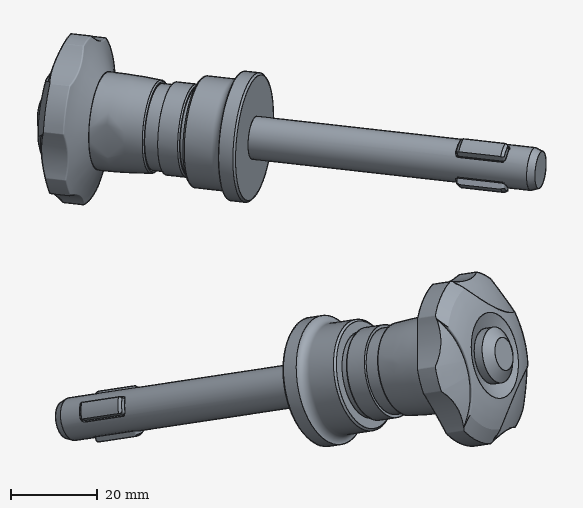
import cadquery as cq
import math


sector_angle = 120
total_length = 120.2
knob_radius = 40.0 / 2

button_radius = 6.5
button_tip_radius = 3.8
button_chamfer_length = 1.8

dome_start = 2.5
dish_radius = 10.0
dish_depth = 1.5
dome_mid_x, dome_mid_radius = 3.2, 13.5
dome_end_x, dome_end_radius = 4.5, 17.1
rim_start = 6.5
rim_end = 11.4

flare_mid_x, flare_mid_radius = 13.0, 15.4
flare_end_radius = 11.3
neck_start = 14.8
neck_start_radius = 11.4
neck_mid_x, neck_mid_radius = 21.0, 11.3
neck_end = 27.9
neck_end_radius = 10.8
sleeve_edge_chamfer = 0.4

groove_radius = 10.1
ring_start = 31.3
ring_end = 36.4
ring_radius = 10.8
collar_start = 37.9
collar_radius = 13.0
collar_edge_chamfer = 0.5
collar_end = 45.0
flange_start = 47.2
flange_radius = 15.0
flange_end = 51.2
flange_edge_chamfer = 0.5

shaft_radius = 10.0 / 2
shaft_tip_radius = 4.3
shaft_chamfer_length = 1.8

narrow_lobe_angles = [86 + sector * sector_angle for sector in range(3)]
scallop_offset_angle = 26
scallop_half_angle = 17.5
scallop_floor_radius = 18.2
knob_edge_fillet = 0.4

sunken_depth = 0.6
sunken_edge_fillet = 0.2
sunken_arc_radius = 28.8
sunken_inner_radius = 11.5

key_middle = 107.0
key_length = 11.5
key_width = 4.0
key_outer_radius = 6.1
key_chamfer_length = 0.7
key_chamfer_height = 0.5
key_corner_radius = 0.6
pocket_gap = 0.4
pocket_depth = 0.8
key_angles = [60 + sector * sector_angle for sector in range(3)]

AXIS_START = (0, 0, 0)
AXIS_END = (1, 0, 0)


def turned(outline):
    """Revolve a closed outline about the X axis."""
    return outline.close().revolve(360, AXIS_START, AXIS_END)


def around_axis(shape, angle):
    """Turn a shape made along -Y about X; positive angles go from -Y towards +Z."""
    return shape.rotate(AXIS_START, AXIS_END, -angle)


def make_knob():
    outline = (
        cq.Workplane("XY")
        .moveTo(dome_start + dish_depth, 0)
        .lineTo(dome_start + dish_depth, button_radius)
        .lineTo(dome_start, dish_radius)
        .threePointArc((dome_mid_x, dome_mid_radius), (dome_end_x, dome_end_radius))
        .lineTo(rim_start, knob_radius)
        .lineTo(rim_end, knob_radius)
        .threePointArc((flare_mid_x, flare_mid_radius), (neck_start, flare_end_radius))
        .lineTo(neck_start, 0)
    )
    knob = turned(outline).intersect(make_lobed_prism())
    back_zone = cq.selectors.BoxSelector(
        (rim_end - knob_edge_fillet, -knob_radius, -knob_radius),
        (flare_mid_x, knob_radius, knob_radius),
    )
    knob = knob.edges(back_zone).fillet(knob_edge_fillet)
    sunken_face = make_sunken_face_cutter()
    for lobe_angle in narrow_lobe_angles:
        knob = knob.cut(around_axis(sunken_face, lobe_angle))
    dome_zone = cq.selectors.BoxSelector(
        (dome_start, -dome_end_radius, -dome_end_radius),
        (dome_mid_x + sunken_depth, dome_end_radius, dome_end_radius),
    )
    step_edges = knob.edges(dome_zone).edges("%BSPLINE")
    return step_edges.fillet(sunken_edge_fillet)


def make_lobed_prism():
    """Star-like bar along X that gives the knob its lobes, with rounded corners."""
    prism = cq.Workplane("YZ").circle(knob_radius).extrude(neck_start)
    scallop = make_scallop_cutter()
    for lobe_angle in narrow_lobe_angles:
        for side in (-1, 1):
            prism = prism.cut(around_axis(scallop, lobe_angle + side * scallop_offset_angle))
    return prism.edges("|X").fillet(knob_edge_fillet)


def make_scallop_cutter():
    """Cylinder along X that leaves a hollow between two lobes."""
    half_chord = knob_radius * math.sin(math.radians(scallop_half_angle))
    sag = knob_radius * math.cos(math.radians(scallop_half_angle)) - scallop_floor_radius
    radius = (half_chord**2 + sag**2) / (2 * sag)
    centre = scallop_floor_radius + radius
    return cq.Workplane("YZ").center(-centre, 0).circle(radius).extrude(neck_start)


def make_sunken_face_cutter():
    """Dome-shaped layer, limited to the area inside one large circle."""
    layer = turned(
        cq.Workplane("XY")
        .lineTo(dome_start + sunken_depth, 0)
        .lineTo(dome_start + sunken_depth, dish_radius)
        .threePointArc(
            (dome_mid_x + sunken_depth, dome_mid_radius),
            (rim_start, knob_radius),
        )
        .lineTo(0, knob_radius)
    )
    centre = sunken_inner_radius + sunken_arc_radius
    area = cq.Workplane("YZ").center(-centre, 0).circle(sunken_arc_radius).extrude(rim_start)
    return layer.intersect(area)


def make_turned_body():
    """Button, neck, sleeve, collar and shaft."""
    arc_middle = math.sqrt(0.5)
    collar_fillet_length = flange_start - collar_end
    collar_fillet_height = flange_radius - collar_radius
    outline = (
        cq.Workplane("XY")
        .lineTo(0, button_tip_radius)
        .lineTo(button_chamfer_length, button_radius)
        .lineTo(neck_start, button_radius)
        .lineTo(neck_start, neck_start_radius)
        .threePointArc((neck_mid_x, neck_mid_radius), (neck_end - sleeve_edge_chamfer, neck_end_radius))
        .lineTo(neck_end, neck_end_radius - sleeve_edge_chamfer)
        .lineTo(neck_end, groove_radius)
        .lineTo(ring_start, groove_radius)
        .lineTo(ring_start, ring_radius)
        .lineTo(ring_end - sleeve_edge_chamfer, ring_radius)
        .lineTo(ring_end, ring_radius - sleeve_edge_chamfer)
        .lineTo(ring_end, groove_radius)
        .lineTo(collar_start, groove_radius)
        .lineTo(collar_start, collar_radius - collar_edge_chamfer)
        .lineTo(collar_start + collar_edge_chamfer, collar_radius)
        .lineTo(collar_end, collar_radius)
        .threePointArc(
            (
                collar_end + collar_fillet_length * arc_middle,
                flange_radius - collar_fillet_height * arc_middle,
            ),
            (flange_start, flange_radius),
        )
        .lineTo(flange_end - flange_edge_chamfer, flange_radius)
        .lineTo(flange_end, flange_radius - flange_edge_chamfer)
        .lineTo(flange_end, shaft_radius)
        .lineTo(total_length - shaft_chamfer_length, shaft_radius)
        .lineTo(total_length, shaft_tip_radius)
        .lineTo(total_length, 0)
    )
    return turned(outline)


def make_key():
    """Locking key along -Y with a round top, chamfered ends and rounded corners."""
    start = key_middle - key_length / 2
    end = key_middle + key_length / 2
    shoulder_radius = key_outer_radius - key_chamfer_height
    bar = turned(
        cq.Workplane("XY")
        .moveTo(start, 0)
        .lineTo(start, shoulder_radius)
        .lineTo(start + key_chamfer_length, key_outer_radius)
        .lineTo(end - key_chamfer_length, key_outer_radius)
        .lineTo(end, shoulder_radius)
        .lineTo(end, 0)
    )
    envelope = (
        cq.Workplane("XZ")
        .center(key_middle, 0)
        .rect(key_length, key_width)
        .extrude(key_outer_radius)
        .edges("|Y")
        .fillet(key_corner_radius)
    )
    return bar.intersect(envelope)


def make_key_pocket():
    """Clearance pocket around one key, cut into the shaft along -Y."""
    return (
        cq.Workplane("XZ", origin=(key_middle, pocket_depth - shaft_radius, 0))
        .rect(key_length + 2 * pocket_gap, key_width + 2 * pocket_gap)
        .extrude(shaft_radius)
        .edges("|Y")
        .fillet(key_corner_radius + pocket_gap)
    )


result = make_turned_body().union(make_knob())
for key_angle in key_angles:
    result = result.cut(around_axis(make_key_pocket(), key_angle))
    result = result.union(around_axis(make_key(), key_angle))